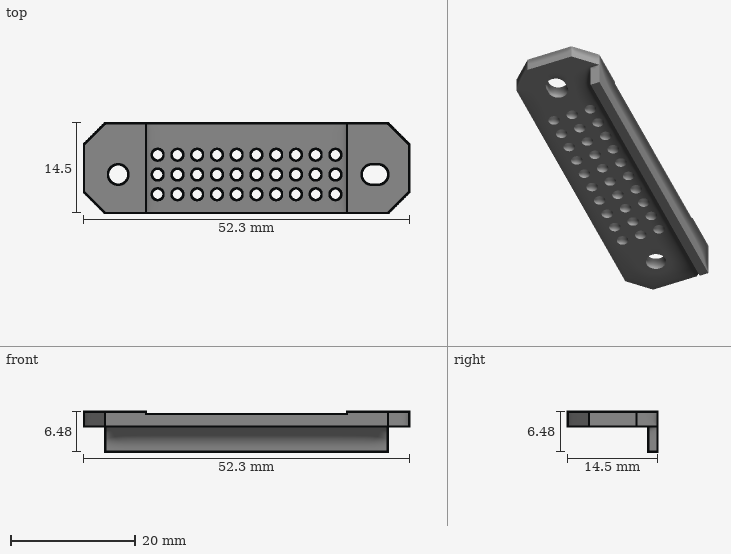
import cadquery as cq

INCH = 25.4

plate_length = 2.06 * INCH
plate_width = 0.57 * INCH
plate_thickness = 0.095 * INCH
corner_chamfer = 0.135 * INCH

recess_length = 1.27 * INCH
recess_depth = 0.015 * INCH

lip_length = plate_length - 2 * corner_chamfer
lip_thickness = 0.06 * INCH
lip_height = 0.16 * INCH

hole_line_y = -0.04 * INCH

grid_columns = 10
grid_rows = 3
grid_pitch = 0.125 * INCH
grid_hole_diameter = 0.073 * INCH

mount_offset = 0.8125 * INCH
mount_diameter = 0.128 * INCH
slot_travel = 0.04 * INCH
slot_length = mount_diameter + slot_travel


def make_plate():
    """Flat plate with chamfered corners, its underside at Z = 0."""
    plate = cq.Workplane("XY").box(
        plate_length, plate_width, plate_thickness, centered=(True, True, False)
    )
    return plate.edges("|Z").chamfer(corner_chamfer)


def make_recess():
    """Block to remove from the top, across the full plate width."""
    floor = cq.Workplane("XY").workplane(offset=plate_thickness - recess_depth)
    return floor.rect(recess_length, plate_width).extrude(recess_depth)


def make_lip():
    """Thin wall below the plate, flush with its +Y side."""
    lip_y = (plate_width - lip_thickness) / 2
    underside = cq.Workplane("XY").center(0, lip_y)
    return underside.rect(lip_length, lip_thickness).extrude(-lip_height)


def make_grid_holes():
    """Cylinders for the grid of small holes."""
    grid = cq.Workplane("XY").center(0, hole_line_y)
    grid = grid.rarray(grid_pitch, grid_pitch, grid_columns, grid_rows)
    return grid.circle(grid_hole_diameter / 2).extrude(plate_thickness)


def make_mounting_holes():
    """Round hole at the -X end and slot along X at the +X end."""
    round_hole = cq.Workplane("XY").center(-mount_offset, hole_line_y)
    round_hole = round_hole.circle(mount_diameter / 2).extrude(plate_thickness)
    slot = cq.Workplane("XY").center(mount_offset, hole_line_y)
    slot = slot.slot2D(slot_length, mount_diameter).extrude(plate_thickness)
    return round_hole.union(slot)


result = make_plate().union(make_lip())
result = result.cut(make_recess())
result = result.cut(make_grid_holes())
result = result.cut(make_mounting_holes())